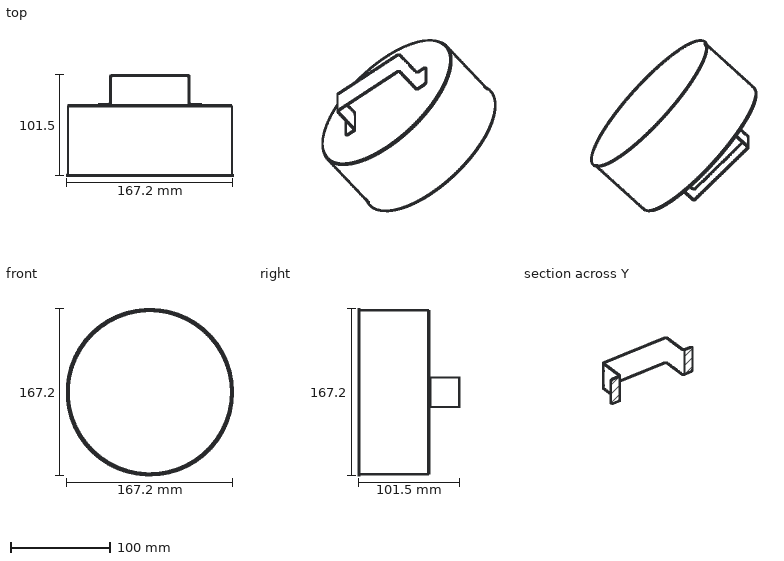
import cadquery as cq

sheet = 1.0
bore_diameter = 163.2
drum_length = 70.0
disc_diameter = 163.5
disc_thickness = 1.5
handle_span = 80.0
handle_height = 30.0
handle_width = 30.0
foot_span = 102.5
foot_corner_diameter = 5.5
inner_bend = 1.0

outer_bend = inner_bend + sheet
bore_radius = bore_diameter / 2
wall_radius = bore_radius + sheet
rim_radius = bore_radius + outer_bend
disc_back = drum_length + disc_thickness


def make_drum():
    """Straight tube whose mouth flares outward through a quarter bend."""
    profile = (
        cq.Workplane("XY")
        .moveTo(bore_radius, drum_length)
        .lineTo(bore_radius, outer_bend)
        .radiusArc((rim_radius, 0), -outer_bend)
        .lineTo(rim_radius, sheet)
        .radiusArc((wall_radius, outer_bend), inner_bend)
        .lineTo(wall_radius, drum_length)
        .close()
    )
    return profile.revolve(360, (0, 0, 0), (0, 1, 0))


def make_disc():
    """Flat disc closing the back end of the drum."""
    return (
        cq.Workplane("XZ", origin=(0, disc_back, 0))
        .circle(disc_diameter / 2)
        .extrude(disc_thickness)
    )


def make_handle():
    """Bent strip: two feet on the disc, two legs and a straight grip."""
    half_span = handle_span / 2
    half_foot = foot_span / 2
    inner_half_span = half_span - sheet
    foot_top = disc_back + sheet
    grip_outside = disc_back + handle_height
    grip_inside = grip_outside - sheet

    strip = (
        cq.Workplane("XY", origin=(0, 0, -handle_width / 2))
        .polyline([
            (-half_foot, disc_back),
            (-inner_half_span, disc_back),
            (-inner_half_span, grip_inside),
            (inner_half_span, grip_inside),
            (inner_half_span, disc_back),
            (half_foot, disc_back),
            (half_foot, foot_top),
            (half_span, foot_top),
            (half_span, grip_outside),
            (-half_span, grip_outside),
            (-half_span, foot_top),
            (-half_foot, foot_top),
        ])
        .close()
        .extrude(handle_width)
    )

    bends = (
        (half_span, grip_outside, outer_bend),
        (inner_half_span, grip_inside, inner_bend),
        (inner_half_span, disc_back, outer_bend),
        (half_span, foot_top, inner_bend),
    )
    for x, y, radius in bends:
        for side in (-1, 1):
            nearest_edge = cq.selectors.NearestToPointSelector((side * x, y, 0))
            strip = strip.edges(nearest_edge).fillet(radius)

    foot_tips = strip.faces("<X or >X")
    return foot_tips.edges("|Y").fillet(foot_corner_diameter / 2)


drum = make_drum()
disc = make_disc()
handle = make_handle()

result = cq.Compound.makeCompound([drum.val(), disc.val(), handle.val()])